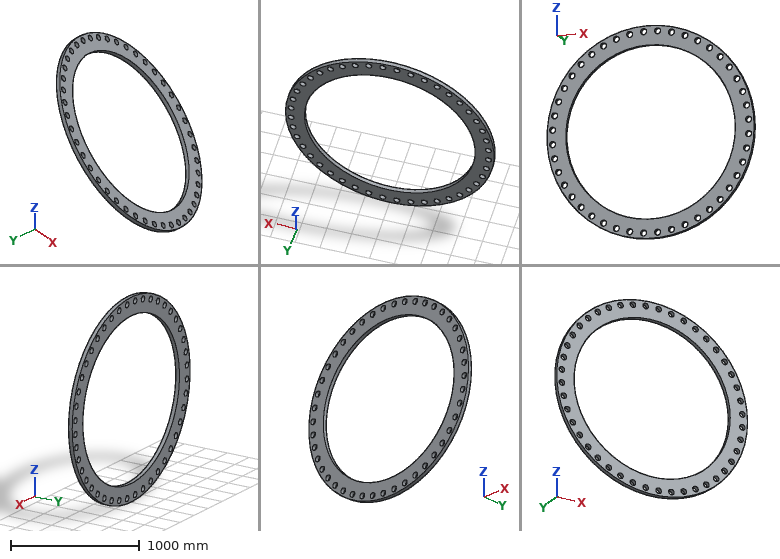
import cadquery as cq

outer_diameter = 1683.0
bore_diameter = 1376.0
thickness = 35.0

bolt_circle_diameter = 1595.0
bolt_hole_diameter = 47.0
bolt_hole_count = 44
bolt_pitch_angle = 360 / bolt_hole_count
first_bolt_angle = 90 + bolt_pitch_angle / 2

back_plane = cq.Workplane("XZ", origin=(0, thickness / 2, 0))

ring = (
    back_plane
    .circle(outer_diameter / 2)
    .circle(bore_diameter / 2)
    .extrude(thickness)
)

bolt_holes = (
    back_plane
    .polarArray(bolt_circle_diameter / 2, first_bolt_angle, 360, bolt_hole_count)
    .circle(bolt_hole_diameter / 2)
    .extrude(thickness)
)

result = ring.cut(bolt_holes)